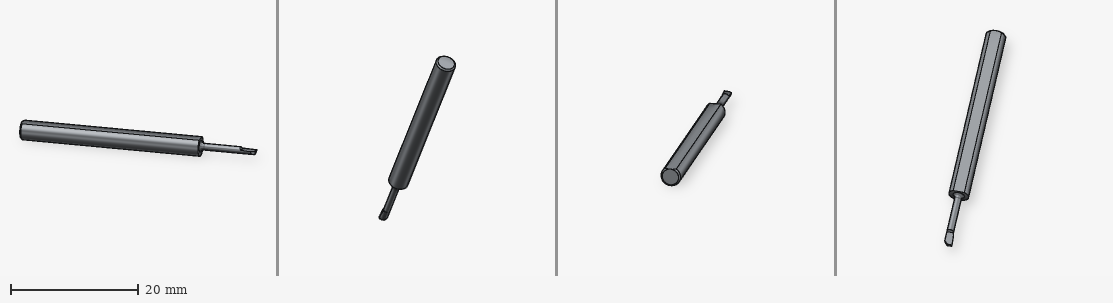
import cadquery as cq
import math

total_length = 38.1
shank_end = 29.15
neck_start = 29.85

shank_radius = 1.59
flat_height = 1.315
shank_chamfer = 0.25

neck_radius = 0.545
flare_radius = 0.9
flare_length = neck_start - shank_end
flare_rise = flare_radius - neck_radius
flare_arc_radius = (flare_length**2 + flare_rise**2) / (2 * flare_rise)

head_start = 36.05
head_root_y = 0.6
tip_y = 0.75
end_face_x = 38.0
end_face_top_y = 0.55
corner_start_x = 37.45

rake_start = 35.62
run_out_radius = 0.55
rake_floor_start = 35.9
rake_floor_start_z = 0.15
rake_floor_tip_z = 0.05


def make_shank():
    """Round bar with a chamfered rear end and a flat along its top."""
    shank = cq.Workplane("YZ").circle(shank_radius).extrude(shank_end)
    shank = shank.faces("<X").chamfer(shank_chamfer)
    above_flat = cq.Workplane("XY").box(
        shank_end, 2 * shank_radius, shank_radius, centered=(False, True, False)
    )
    return shank.cut(above_flat.translate((0, 0, flat_height)))


def make_neck():
    """Revolved neck whose flare is tangent to the straight part."""
    half_angle = math.asin(flare_length / flare_arc_radius) / 2
    arc_middle = (
        neck_start - flare_arc_radius * math.sin(half_angle),
        neck_radius + flare_arc_radius * (1 - math.cos(half_angle)),
    )
    return (
        cq.Workplane("XY")
        .moveTo(shank_end, 0)
        .lineTo(shank_end, flare_radius)
        .threePointArc(arc_middle, (neck_start, neck_radius))
        .lineTo(total_length, neck_radius)
        .lineTo(total_length, 0)
        .close()
        .revolve(360, (0, 0, 0), (1, 0, 0))
    )


def make_head_overhang():
    """Neck section widened towards +Y so that it reaches the cutting tip."""
    overhang = tip_y - neck_radius
    head_length = total_length - head_start
    section = cq.Workplane("YZ", origin=(head_start, 0, 0))
    shifted_round = section.center(overhang, 0).circle(neck_radius).extrude(head_length)
    bridge = section.center(overhang / 2, 0).rect(overhang, 2 * neck_radius).extrude(head_length)
    return shifted_round.union(bridge)


def make_head_plan():
    """Prism with the plan outline of the head and its pointed tip."""
    return (
        cq.Workplane("XY", origin=(0, 0, -neck_radius))
        .moveTo(head_start, -neck_radius)
        .lineTo(corner_start_x, -neck_radius)
        .lineTo(end_face_x, 0)
        .lineTo(end_face_x, end_face_top_y)
        .lineTo(total_length, tip_y)
        .lineTo(head_start, head_root_y)
        .close()
        .extrude(2 * neck_radius)
    )


def make_rake_cut():
    """Space above the rake face, with a concave run-out into the neck."""
    return (
        cq.Workplane("XZ")
        .moveTo(rake_start, neck_radius)
        .radiusArc((rake_floor_start, rake_floor_start_z), -run_out_radius)
        .lineTo(total_length, rake_floor_tip_z)
        .lineTo(total_length, neck_radius)
        .close()
        .extrude(tip_y + neck_radius, both=True)
    )


neck = make_neck()
head_zone = cq.Workplane("XY").box(
    total_length - head_start, 2 * tip_y, 2 * tip_y, centered=(False, True, True)
).translate((head_start, 0, 0))
head = neck.intersect(head_zone).union(make_head_overhang()).intersect(make_head_plan())
result = make_shank().union(neck.cut(head_zone)).union(head).cut(make_rake_cut())